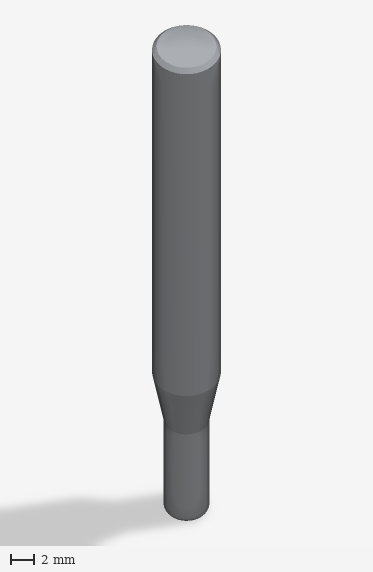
import cadquery as cq

total_length = 57.0
shank_diameter = 6.0
tip_diameter = 4.0
tip_length = 11.0
taper_length = 5.75
shank_chamfer = 0.4
tip_corner_radius = 0.5

shank_radius = shank_diameter / 2
tip_radius = tip_diameter / 2
taper_top = tip_length + taper_length

half_profile = (
    cq.Workplane("XZ")
    .moveTo(0, 0)
    .lineTo(tip_radius - tip_corner_radius, 0)
    .radiusArc((tip_radius, tip_corner_radius), -tip_corner_radius)
    .lineTo(tip_radius, tip_length)
    .lineTo(shank_radius, taper_top)
    .lineTo(shank_radius, total_length - shank_chamfer)
    .lineTo(shank_radius - shank_chamfer, total_length)
    .lineTo(0, total_length)
    .close()
)

result = half_profile.revolve(360, (0, 0, 0), (0, 1, 0))